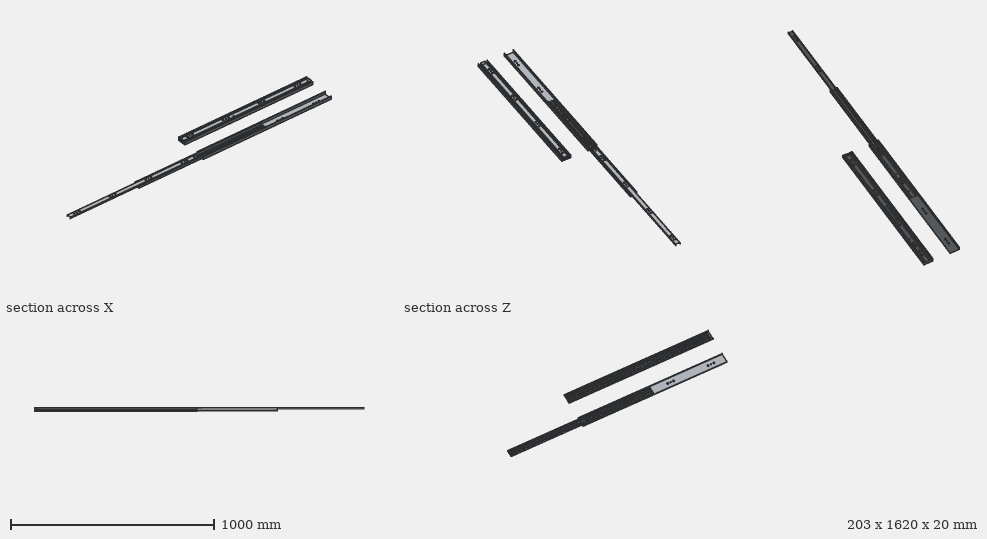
import cadquery as cq

OVERALL_WIDTH = 203.0
OVERALL_LENGTH = 1620.0
SLIDE_HEIGHT = 20.0

OUTER_WIDTH = 53.0
OUTER_LENGTH = 799.0
OUTER_SHEET = 2.0
OUTER_TOP_CORNER = 3.0
OUTER_BOTTOM_CORNER = 2.5
LIP_WIDTH = 3.0
LIP_HEIGHT = 3.0

MIDDLE_WIDTH = 39.0
MIDDLE_LENGTH = 789.0
MIDDLE_SHEET = 2.5
MIDDLE_CORNER = 4.0
MIDDLE_BOTTOM = OUTER_SHEET
MIDDLE_TOP = 18.0
LOWER_RIDGE_WIDTH = 20.0
LOWER_RIDGE_HEIGHT = 2.5
UPPER_RIDGE_WIDTH = 10.0
UPPER_RIDGE_HEIGHT = 6.0
MIDDLE_REAR_EXTENDED = -405.0

MIDDLE_HOLES_AT = [44.0, 170.0]
SHORT_SLOT_START = 109.0
SHORT_SLOT_LENGTH = 32.0
LONG_SLOT_START = 310.0
LONG_SLOT_LENGTH = 102.0

INNER_WIDTH = 26.0
INNER_LENGTH = OUTER_LENGTH
INNER_SHEET = 2.0
INNER_CORNER = 2.5
INNER_HEIGHT = 8.9
NOTCH_DEPTH = 3.0
REAR_HOLE_AT = 15.0

SMALL_HOLE = 5.0
LARGE_HOLE = 8.0
GROUP_COUNT = 4
GROUP_PITCH = 224.0
GROUP_START = 60.0
SMALL_HOLE_OFFSET = 16.0
LARGE_HOLE_OFFSET = 32.0

CLOSED_X = -(OVERALL_WIDTH - OUTER_WIDTH) / 2
EXTENDED_X = -CLOSED_X


def box(width, length, bottom, top):
    """Block centred on X = 0 that runs from Y = 0 towards -Y."""
    block = cq.Workplane("XY").box(width, length, top - bottom, centered=(True, False, False))
    return block.translate((0, -length, bottom))


def drill(rail, diameter, distances):
    """Drill through the floor at the given distances from the rear end."""
    places = [(0, -distance) for distance in distances]
    drills = cq.Workplane("XY").pushPoints(places).circle(diameter / 2).extrude(SLIDE_HEIGHT)
    return rail.cut(drills)


def drill_mounting_holes(rail):
    groups = [GROUP_START + GROUP_PITCH * i for i in range(GROUP_COUNT)]
    large = groups + [start + LARGE_HOLE_OFFSET for start in groups]
    small = [start + SMALL_HOLE_OFFSET for start in groups]
    return drill(drill(rail, LARGE_HOLE, large), SMALL_HOLE, small)


def make_outer_rail():
    rail = box(OUTER_WIDTH, OUTER_LENGTH, 0, SLIDE_HEIGHT)
    rail = rail.edges("|Y and >Z").fillet(OUTER_TOP_CORNER)
    rail = rail.edges("|Y and <Z").fillet(OUTER_BOTTOM_CORNER)
    lip_bottom = SLIDE_HEIGHT - LIP_HEIGHT
    rail = rail.cut(box(OUTER_WIDTH - 2 * OUTER_SHEET, OUTER_LENGTH, OUTER_SHEET, lip_bottom))
    rail = rail.cut(box(OUTER_WIDTH - 2 * LIP_WIDTH, OUTER_LENGTH, lip_bottom, SLIDE_HEIGHT))
    return drill_mounting_holes(rail)


def make_middle_rail():
    floor_top = MIDDLE_BOTTOM + MIDDLE_SHEET
    rail = box(MIDDLE_WIDTH, MIDDLE_LENGTH, MIDDLE_BOTTOM, MIDDLE_TOP)
    rail = rail.edges("|Y and <Z").fillet(MIDDLE_CORNER)
    rail = rail.cut(box(MIDDLE_WIDTH - 2 * MIDDLE_SHEET, MIDDLE_LENGTH, floor_top, MIDDLE_TOP))
    rail = rail.union(box(LOWER_RIDGE_WIDTH, MIDDLE_LENGTH, floor_top, floor_top + LOWER_RIDGE_HEIGHT))
    rail = rail.union(box(UPPER_RIDGE_WIDTH, MIDDLE_LENGTH, floor_top, floor_top + UPPER_RIDGE_HEIGHT))

    rail = drill(rail, SMALL_HOLE, MIDDLE_HOLES_AT)
    short_slot = box(SMALL_HOLE, SHORT_SLOT_LENGTH, 0, SLIDE_HEIGHT)
    long_slot = box(UPPER_RIDGE_WIDTH, LONG_SLOT_LENGTH, 0, SLIDE_HEIGHT)
    rail = rail.cut(short_slot.translate((0, -SHORT_SLOT_START, 0)))
    return rail.cut(long_slot.translate((0, -LONG_SLOT_START, 0)))


def make_inner_rail():
    cavity_width = INNER_WIDTH - 2 * INNER_SHEET
    bottom = SLIDE_HEIGHT - INNER_HEIGHT
    rail = box(INNER_WIDTH, INNER_LENGTH, bottom, SLIDE_HEIGHT)
    rail = rail.edges("|Y and >Z").fillet(INNER_CORNER)
    rail = rail.cut(box(cavity_width, INNER_LENGTH, bottom, SLIDE_HEIGHT - INNER_SHEET))

    notch = box(cavity_width, NOTCH_DEPTH, bottom, SLIDE_HEIGHT)
    rail = rail.cut(notch.translate((0, NOTCH_DEPTH - INNER_LENGTH, 0)))
    return drill(drill_mounting_holes(rail), SMALL_HOLE, [REAR_HOLE_AT])


def make_slide(x, middle_rear, inner_rear):
    """Three rails of one slide, with the outer rail's rear end at Y = 0."""
    return [
        make_outer_rail().translate((x, 0, 0)).val(),
        make_middle_rail().translate((x, middle_rear, 0)).val(),
        make_inner_rail().translate((x, inner_rear, 0)).val(),
    ]


closed_slide = make_slide(CLOSED_X, MIDDLE_LENGTH - OUTER_LENGTH, 0)
extended_slide = make_slide(EXTENDED_X, MIDDLE_REAR_EXTENDED, INNER_LENGTH - OVERALL_LENGTH)

result = cq.Compound.makeCompound([*closed_slide, *extended_slide])